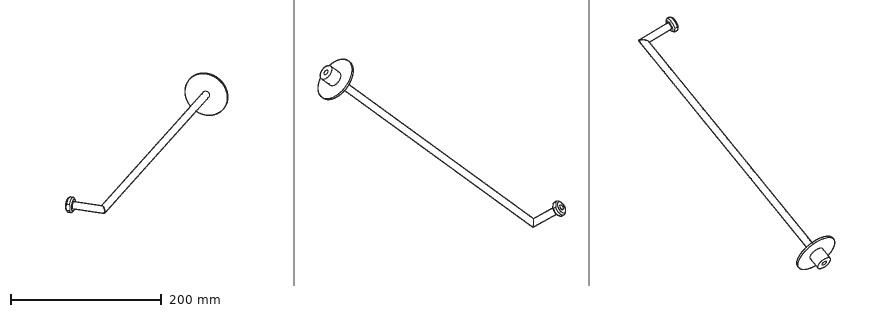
import cadquery as cq

OVERALL_Y = 427.5
TUBE_OD = 10.0
TUBE_ID = 7.0
SHORT_ARM_REACH = 50.0

PLATE_DIA = 60.0
PLATE_THICKNESS = 3.0
SPIGOT_DIA = 20.95
SPIGOT_LENGTH = 18.0

COLLAR_DIA = 20.95
COLLAR_FACE_DIA = 16.4
COLLAR_LENGTH = 8.5
COLLAR_BEVEL = (COLLAR_DIA - COLLAR_FACE_DIA) / 2
COLLAR_ACROSS_FLATS = 19.0

SPIGOT_END_Y = OVERALL_Y - COLLAR_ACROSS_FLATS / 2
PLATE_BACK_Y = SPIGOT_END_Y - SPIGOT_LENGTH
PLATE_FRONT_Y = PLATE_BACK_Y - PLATE_THICKNESS


def disc_along_y(diameter, start_y, length):
    """Cylinder on the long arm's axis, growing toward +Y."""
    plane = cq.Workplane("XZ", origin=(0, start_y, 0))
    return plane.circle(diameter / 2).extrude(-length)


def collar_face_plane():
    """Plane of the short arm's open end, with its normal toward +X."""
    return cq.Workplane("YZ", origin=(-SHORT_ARM_REACH, 0, 0))


def mitred_bar(diameter):
    """Round bar along both arms, joined by a sharp 45 degree mitre at the origin."""
    path = (
        cq.Workplane("XY")
        .moveTo(-SHORT_ARM_REACH, 0)
        .lineTo(0, 0)
        .lineTo(0, SPIGOT_END_Y)
    )
    return collar_face_plane().circle(diameter / 2).sweep(path, transition="right")


def wall_mount():
    plate = disc_along_y(PLATE_DIA, PLATE_FRONT_Y, PLATE_THICKNESS)
    spigot = disc_along_y(SPIGOT_DIA, PLATE_BACK_Y, SPIGOT_LENGTH)
    return plate.union(spigot)


def end_collar():
    collar = (
        collar_face_plane()
        .circle(COLLAR_DIA / 2)
        .extrude(COLLAR_LENGTH)
        .edges("%CIRCLE")
        .chamfer(COLLAR_BEVEL)
    )
    flats_envelope = (
        collar_face_plane()
        .rect(COLLAR_ACROSS_FLATS, COLLAR_DIA)
        .extrude(COLLAR_LENGTH)
    )
    return collar.intersect(flats_envelope)


body = mitred_bar(TUBE_OD).union(wall_mount()).union(end_collar())

result = body.cut(mitred_bar(TUBE_ID))